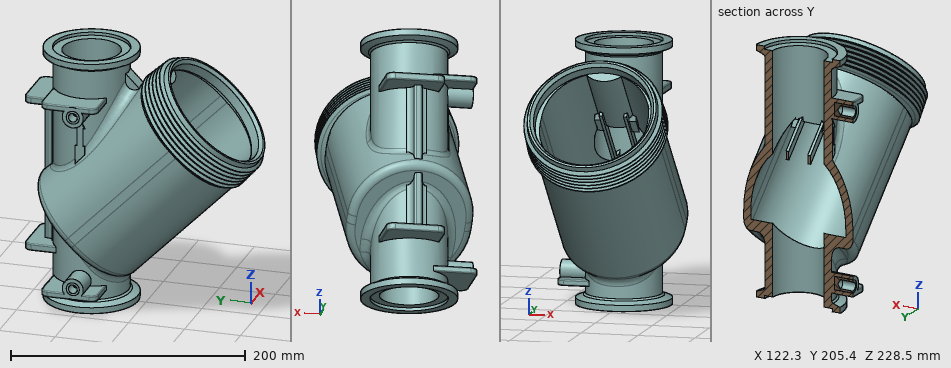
import cadquery as cq
import math

PIPE_LENGTH = 228.5
PIPE_RADIUS = 66.0 / 2
PIPE_BORE_RADIUS = 50.7 / 2

FLANGE_RADIUS = 83.0 / 2
FLANGE_THICKNESS = 5.5
FLANGE_TAPER_RADIUS = 34.7
FLANGE_TAPER_END = 8.0
FLANGE_ROOT_END = 9.5
GASKET_RECESS_RADIUS = 66.8 / 2
GASKET_RECESS_DEPTH = 2.7

BRANCH_HEIGHT = 71.3
BRANCH_ANGLE = 45.0
BRANCH_BASE = -8.7
BRANCH_NECK = 125.7
BRANCH_MOUTH = 158.0
BRANCH_WIDTH = 108.4
BRANCH_DEPTH = 116.5
BRANCH_BASE_FILLET = 6.9
BRANCH_BORE_WIDTH = 93.3
BRANCH_BORE_DEPTH = 101.3
BRANCH_FLOOR = -1.1
JUNCTION_FILLET = 7.8

RIM_RADIUS = 55.8
THREAD_OUTER_RADIUS = 122.3 / 2
THREAD_DEPTH = 3.2
THREAD_PITCH = 4.23
THREAD_START = 130.0
THREAD_RINGS = 6
THREAD_TAPER = 0.2
CREST_WIDTH = 0.7
FLANK_ANGLE = 30.0

SEAT_RADIUS = 51.0
SEAT_DEPTH = 11.5
MOUTH_CHAMFER = 2.7

WEB_WIDTH = 13.7
WEB_TOP = 121.2

RIDGE_RADIUS = 22.9
RIDGE_INNER_HEIGHT = 42.3
RIDGE_START = 45.7
BAR_WIDTH = 2.7
BAR_OFFSET = 10.7
BAR_INNER_HEIGHT = 41.1
BAR_THICKNESS = 5.7
BAR_END = 96.0
BAR_CURVE_START = 10.0
SHOULDER_WIDTH = 9.0
SHOULDER_BACK = -19.0
SHOULDER_LENGTH = 10.7
SHOULDER_HEIGHT = 44.0

LUG_WIDTH = 50.3
LUG_SHIFT = 4.1
LUG_CORNER_RADIUS = 6.5
LUG_EDGE_FILLET = 1.0
BACK_LUG_REACH = 54.2
BACK_LUG_THICKNESS = 6.2
BACK_LUG_OFFSET = 44.0
SIDE_LUG_REACH = BRANCH_WIDTH / 2
SIDE_LUG_THICKNESS = 5.3

RIB_WIDTH = 6.9
RIB_REACH = 41.1
RIB_EDGE_FILLET = 1.4
RIB_ROOT_RADIUS = 5.3

BOSS_RADIUS = 9.4
BOSS_HEIGHTS = (26.5, 183.8)
BOSS_TO_LUG = 4.5
INSERT_DIAMETER = 11.7
INSERT_LENGTH = 18.3
INSERT_HOLE_DIAMETER = 7.8
INSERT_HOLE_DEPTH = 12.5
DRILL_TIP_ANGLE = 59.0

ARROW_FACE = 33.8
ARROW_TIP = 174.2
ARROW_HEAD_BASE = 166.2
ARROW_SHAFT_BASE = 150.2
ARROW_TAIL = 132.5
ARROW_WIDTH = 8.7
ARROW_SHAFT_WIDTH = 5.5


def lean(shape):
    """Move a shape from the upright branch frame (axis on Z, back on +Y) to its leaning place."""
    return shape.rotate((0, 0, 0), (1, 0, 0), BRANCH_ANGLE).translate((0, 0, BRANCH_HEIGHT))


def branch_point(height, along):
    """(Y, Z) of a point of the middle plane, from its height off the branch axis and its distance along."""
    angle = math.radians(BRANCH_ANGLE)
    y = height * math.cos(angle) - along * math.sin(angle)
    z = BRANCH_HEIGHT + height * math.sin(angle) + along * math.cos(angle)
    return (y, z)


def cylinder(radius, bottom, top):
    return cq.Workplane("XY").workplane(offset=bottom).circle(radius).extrude(top - bottom)


def turned(profile):
    """Turn an (R, Z) outline about the Z axis."""
    return cq.Workplane("XZ").polyline(profile).close().revolve(360, (0, 0), (0, 1))


def side_prism(profile, center_x, width):
    """Extrude a (Y, Z) outline across X, centred on center_x."""
    start = center_x - width / 2
    return cq.Workplane("YZ").workplane(offset=start).polyline(profile).close().extrude(width)


def branch_body():
    body = cq.Workplane("XY").workplane(offset=BRANCH_BASE)
    body = body.slot2D(BRANCH_DEPTH, BRANCH_WIDTH, 90).extrude(BRANCH_NECK - BRANCH_BASE)
    return lean(body.faces("<Z").edges().fillet(BRANCH_BASE_FILLET))


def on_pipe_wall(edge):
    """True for a curved edge that runs on the pipe wall, away from the pipe ends."""
    for position in (0.2, 0.5, 0.8):
        p = edge.positionAt(position)
        if abs(math.hypot(p.x, p.y) - PIPE_RADIUS) > 0.02 or not 2.3 < p.z < PIPE_LENGTH - 2.3:
            return False
    return edge.geomType() != "LINE"


def joined_pipe_and_branch():
    pipe = cylinder(PIPE_RADIUS, 0, PIPE_LENGTH)
    joined = pipe.union(branch_body())
    seam = [edge for edge in joined.edges().vals() if on_pipe_wall(edge)]
    return joined.newObject(seam).fillet(JUNCTION_FILLET)


def flange():
    return turned([
        (0, 0),
        (FLANGE_RADIUS, 0),
        (FLANGE_RADIUS, FLANGE_THICKNESS),
        (FLANGE_TAPER_RADIUS, FLANGE_TAPER_END),
        (PIPE_RADIUS, FLANGE_ROOT_END),
        (0, FLANGE_ROOT_END),
    ])


def thread():
    flank = THREAD_DEPTH * math.tan(math.radians(FLANK_ANGLE))
    root_radius = THREAD_OUTER_RADIUS - THREAD_DEPTH
    profile = [(0, BRANCH_NECK), (BRANCH_WIDTH / 2, BRANCH_NECK)]
    for ring in range(THREAD_RINGS):
        center = THREAD_START + ring * THREAD_PITCH
        shrink = ring * THREAD_TAPER
        crest = THREAD_OUTER_RADIUS - shrink
        root = root_radius - shrink
        profile += [
            (root, center - CREST_WIDTH / 2 - flank),
            (crest, center - CREST_WIDTH / 2),
            (crest, center + CREST_WIDTH / 2),
            (root, center + CREST_WIDTH / 2 + flank),
        ]
    profile += [(RIM_RADIUS, BRANCH_MOUTH), (0, BRANCH_MOUTH)]
    return lean(turned(profile))


def web():
    buried_back = branch_point(BRANCH_DEPTH / 2, PIPE_RADIUS)
    outer_low = branch_point(BRANCH_DEPTH / 2 - 2.3, WEB_TOP)
    pipe_y = 2.3 - PIPE_RADIUS
    pipe_height = WEB_TOP + pipe_y * math.sqrt(2)
    outer_high = branch_point(pipe_height, WEB_TOP)
    return side_prism([buried_back, outer_low, outer_high], 0, WEB_WIDTH)


def lug(reach, thickness, bottom):
    """Plate from the pipe axis toward +Y, its free corners rounded."""
    plate = cq.Workplane("XY").workplane(offset=bottom)
    plate = plate.center(LUG_SHIFT, reach / 2).rect(LUG_WIDTH, reach).extrude(thickness)
    plate = plate.edges("|Z and >Y").fillet(LUG_CORNER_RADIUS)
    return plate.faces("<Z or >Z").edges("not <Y").fillet(LUG_EDGE_FILLET)


def back_lugs():
    low = lug(BACK_LUG_REACH, BACK_LUG_THICKNESS, BACK_LUG_OFFSET)
    high_bottom = PIPE_LENGTH - BACK_LUG_OFFSET - BACK_LUG_THICKNESS
    return low.union(low.translate((0, 0, high_bottom - BACK_LUG_OFFSET)))


def back_rib():
    """Upright rib with rounded outer edges and a flared root."""
    bottom = BACK_LUG_OFFSET + BACK_LUG_THICKNESS / 2
    half = RIB_WIDTH / 2
    root_y = PIPE_RADIUS - 0.2
    flare_y = root_y + RIB_ROOT_RADIUS
    foot_x = half + RIB_ROOT_RADIUS
    arc_shift = RIB_ROOT_RADIUS * (1 - math.sqrt(0.5))
    section = cq.Workplane("XY").workplane(offset=bottom)
    section = section.moveTo(-foot_x, PIPE_BORE_RADIUS + 2.3).lineTo(-foot_x, root_y)
    section = section.threePointArc((-half - arc_shift, root_y + arc_shift), (-half, flare_y))
    section = section.lineTo(-half, RIB_REACH).lineTo(half, RIB_REACH).lineTo(half, flare_y)
    section = section.threePointArc((half + arc_shift, root_y + arc_shift), (foot_x, root_y))
    section = section.lineTo(foot_x, PIPE_BORE_RADIUS + 2.3).close()
    rib = section.extrude(PIPE_LENGTH - 2 * bottom)
    return rib.edges("|Z and >Y").fillet(RIB_EDGE_FILLET)


def side_lugs():
    """One plate under the lower boss and one over the upper boss, on the -X side."""
    low_height, high_height = BOSS_HEIGHTS
    bottoms = (low_height - BOSS_TO_LUG - SIDE_LUG_THICKNESS, high_height + BOSS_TO_LUG)
    plates = cq.Workplane("XY")
    for bottom in bottoms:
        plate = lug(SIDE_LUG_REACH, SIDE_LUG_THICKNESS, bottom)
        plates = plates.union(plate.rotate((0, 0, 0), (0, 0, 1), 90))
    return plates


def boss(height):
    plane = cq.Workplane("YZ", origin=(-SIDE_LUG_REACH, 0, height))
    return plane.circle(BOSS_RADIUS).extrude(SIDE_LUG_REACH)


def flow_arrow():
    half = ARROW_WIDTH / 2
    shaft = ARROW_SHAFT_WIDTH / 2
    outline = [
        (0, ARROW_TIP),
        (half, ARROW_HEAD_BASE),
        (shaft, ARROW_HEAD_BASE),
        (shaft, ARROW_SHAFT_BASE),
        (half, ARROW_SHAFT_BASE),
        (half, ARROW_TAIL),
        (-half, ARROW_TAIL),
        (-half, ARROW_SHAFT_BASE),
        (-shaft, ARROW_SHAFT_BASE),
        (-shaft, ARROW_HEAD_BASE),
        (-half, ARROW_HEAD_BASE),
    ]
    depth = ARROW_FACE - PIPE_BORE_RADIUS
    return side_prism(outline, depth / 2 - ARROW_FACE, depth)


def branch_bore():
    seat = BRANCH_MOUTH - SEAT_DEPTH
    bore = cq.Workplane("XY").workplane(offset=BRANCH_FLOOR)
    bore = bore.slot2D(BRANCH_BORE_DEPTH, BRANCH_BORE_WIDTH, 90).extrude(seat - BRANCH_FLOOR)
    mouth = turned([
        (0, seat),
        (SEAT_RADIUS, seat),
        (SEAT_RADIUS, BRANCH_MOUTH - MOUTH_CHAMFER),
        (SEAT_RADIUS + MOUTH_CHAMFER, BRANCH_MOUTH),
        (0, BRANCH_MOUTH),
    ])
    return lean(bore.union(mouth))


def pipe_bore():
    bore = cylinder(PIPE_BORE_RADIUS, 0, PIPE_LENGTH)
    for bottom in (0, PIPE_LENGTH - GASKET_RECESS_DEPTH):
        bore = bore.union(cylinder(GASKET_RECESS_RADIUS, bottom, bottom + GASKET_RECESS_DEPTH))
    return bore


def ridge():
    """Rounded ridge along the top of the branch bore, kept inside the branch wall."""
    seat = BRANCH_MOUTH - SEAT_DEPTH
    round_bar = cylinder(RIDGE_RADIUS, RIDGE_START, seat)
    round_bar = round_bar.translate((0, RIDGE_INNER_HEIGHT + RIDGE_RADIUS, 0))
    limit_radius = (BRANCH_BORE_DEPTH + BRANCH_DEPTH) / 4
    return lean(round_bar.intersect(cylinder(limit_radius, RIDGE_START, seat)))


def guide_bar(center_x):
    """Bar across the mouth of the upper pipe, curving up into the back wall of the pipe bore."""
    top = BAR_INNER_HEIGHT + BAR_THICKNESS
    wall_y = (PIPE_BORE_RADIUS + PIPE_RADIUS) / 2
    wall_along = BAR_INNER_HEIGHT - wall_y * math.sqrt(2)
    curve_along = top - BAR_CURVE_START * math.sqrt(2)
    curve_start = branch_point(top, curve_along)
    curve_radius = (PIPE_BORE_RADIUS - BAR_CURVE_START) / (1 + math.sqrt(0.5))
    curve_end = (PIPE_BORE_RADIUS, curve_start[1] + curve_radius * math.sqrt(0.5))
    outline = cq.Workplane("YZ").workplane(offset=center_x - BAR_WIDTH / 2)
    outline = outline.moveTo(*branch_point(BAR_INNER_HEIGHT, BAR_END))
    outline = outline.lineTo(*branch_point(top, BAR_END)).lineTo(*curve_start)
    outline = outline.tangentArcPoint(curve_end, relative=False)
    outline = outline.lineTo(wall_y, curve_end[1])
    outline = outline.lineTo(*branch_point(BAR_INNER_HEIGHT, wall_along)).close()
    return outline.extrude(BAR_WIDTH)


def shoulder(side):
    """Sloping block at the front lip of the upper pipe, reaching outward from a guide bar."""
    along = SHOULDER_HEIGHT - SHOULDER_BACK * math.sqrt(2)
    back = branch_point(SHOULDER_HEIGHT, along)
    front = (back[0] - SHOULDER_LENGTH, back[1] + SHOULDER_LENGTH)
    top = (front[0], front[1] + SHOULDER_LENGTH)
    inner_x = BAR_OFFSET - BAR_WIDTH / 2
    return side_prism([back, front, top], side * (inner_x + SHOULDER_WIDTH / 2), SHOULDER_WIDTH)


def insert_blank(height):
    plane = cq.Workplane("YZ", origin=(-SIDE_LUG_REACH, 0, height))
    return plane.circle(INSERT_DIAMETER / 2).extrude(INSERT_LENGTH)


def threaded_insert(height):
    """Plug with a blind hole that ends in a drill tip."""
    radius = INSERT_HOLE_DIAMETER / 2
    tip = INSERT_HOLE_DEPTH + radius / math.tan(math.radians(DRILL_TIP_ANGLE))
    hole = turned([(0, 0), (radius, 0), (radius, INSERT_HOLE_DEPTH), (0, tip)])
    hole = hole.rotate((0, 0, 0), (0, 1, 0), 90).translate((-SIDE_LUG_REACH, 0, height))
    return insert_blank(height).cut(hole)


def make_housing():
    body = joined_pipe_and_branch()
    low_flange = flange()
    body = body.union(low_flange).union(low_flange.mirror("XY").translate((0, 0, PIPE_LENGTH)))
    body = body.union(thread()).union(web())
    body = body.union(back_lugs()).union(back_rib()).union(side_lugs()).union(flow_arrow())
    for height in BOSS_HEIGHTS:
        body = body.union(boss(height))
    body = body.cut(branch_bore()).union(ridge()).cut(pipe_bore())
    for side in (-1, 1):
        body = body.union(guide_bar(side * BAR_OFFSET)).union(shoulder(side))
    for height in BOSS_HEIGHTS:
        body = body.cut(insert_blank(height))
    return body


housing = make_housing()
inserts = [threaded_insert(height) for height in BOSS_HEIGHTS]

result = cq.Compound.makeCompound([housing.val(), *[insert.val() for insert in inserts]])